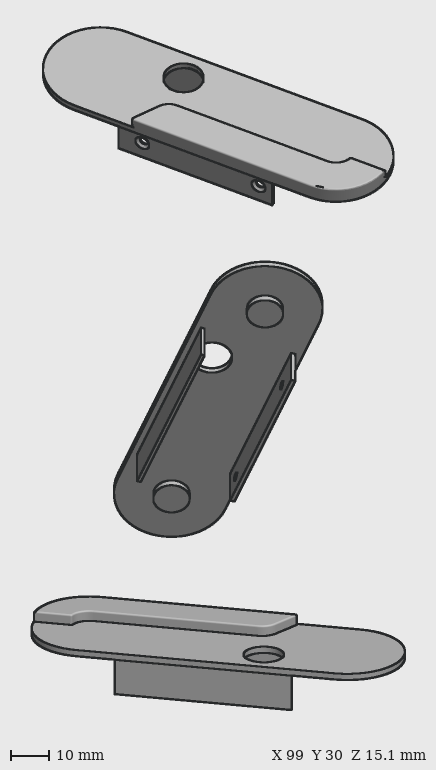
import cadquery as cq
import math

length = 99.0
width = 30.0
plate_thickness = 1.8
end_radius = width / 2
end_x = length / 2 - end_radius

pad_radius = 4.8
pad_height = 1.9

grip_height = 2.8
grip_back_y = -4.9
grip_tip_y = -1.0
grip_front_x = -18.1
grip_slant_angle = 60.0
grip_bend_radius = 4.95
grip_corner_radius = 0.6
grip_top_radius = 0.5
scoop_radius = -grip_back_y

finger_hole_x = -13.8
finger_hole_y = 6.9
finger_hole_diameter = 10.5

tab_height = 10.5
tab_left_x = -22.6
front_tab_right_x = 22.5
front_tab_y = -13.0
front_tab_thickness = 1.2
back_tab_right_x = 24.7
back_tab_y = 12.3
back_tab_thickness = 1.0

screw_hole_xs = (-15.5, 18.5)
screw_hole_diameter = 2.3
screw_head_diameter = 4.1
countersink_angle = 90.0


def make_grip():
    """Raised block bounded by the plate rim, a slanted left end and a round scoop."""
    slant_run = (grip_back_y + end_radius) / math.tan(math.radians(grip_slant_angle))
    bend_x = grip_front_x + slant_run
    scoop_end_x = end_x + math.sqrt(scoop_radius**2 - grip_tip_y**2)
    scoop_mid = scoop_radius * math.sqrt(0.5)
    rim_x = end_x + math.sqrt(end_radius**2 - grip_tip_y**2)
    rim_mid = end_radius * math.sqrt(0.5)
    grip = (
        cq.Workplane("XY", origin=(0, 0, plate_thickness))
        .moveTo(grip_front_x, -end_radius)
        .lineTo(bend_x, grip_back_y)
        .lineTo(end_x, grip_back_y)
        .threePointArc((end_x + scoop_mid, -scoop_mid), (scoop_end_x, grip_tip_y))
        .lineTo(rim_x, grip_tip_y)
        .threePointArc((end_x + rim_mid, -rim_mid), (end_x, -end_radius))
        .close()
        .extrude(grip_height)
    )
    mid_z = plate_thickness + grip_height / 2
    bend_edge = cq.selectors.NearestToPointSelector((bend_x, grip_back_y, mid_z))
    grip = grip.edges(bend_edge).fillet(grip_bend_radius)
    for corner in ((grip_front_x, -end_radius, mid_z), (scoop_end_x, grip_tip_y, mid_z)):
        grip = grip.edges(cq.selectors.NearestToPointSelector(corner)).fillet(grip_corner_radius)
    return grip.faces(">Z").edges().fillet(grip_top_radius)


def make_tab(right_x, front_y, thickness):
    tab = cq.Workplane("XY").box(right_x - tab_left_x, thickness, tab_height, centered=False)
    return tab.translate((tab_left_x, front_y, -tab_height))


def make_front_tab():
    tab = make_tab(front_tab_right_x, front_tab_y, front_tab_thickness)
    return (
        cq.Workplane("XZ", origin=(0, front_tab_y, 0))
        .add(tab)
        .pushPoints([(x, -tab_height / 2) for x in screw_hole_xs])
        .cskHole(screw_hole_diameter, screw_head_diameter, countersink_angle)
    )


plate = cq.Workplane("XY").slot2D(length, width).extrude(plate_thickness)
finger_hole = (
    cq.Workplane("XY")
    .center(finger_hole_x, finger_hole_y)
    .circle(finger_hole_diameter / 2)
    .extrude(plate_thickness)
)
pads = cq.Workplane("XY").pushPoints([(-end_x, 0), (end_x, 0)]).circle(pad_radius).extrude(-pad_height)

result = (
    plate.cut(finger_hole)
    .union(make_grip())
    .union(pads)
    .union(make_front_tab())
    .union(make_tab(back_tab_right_x, back_tab_y, back_tab_thickness))
)